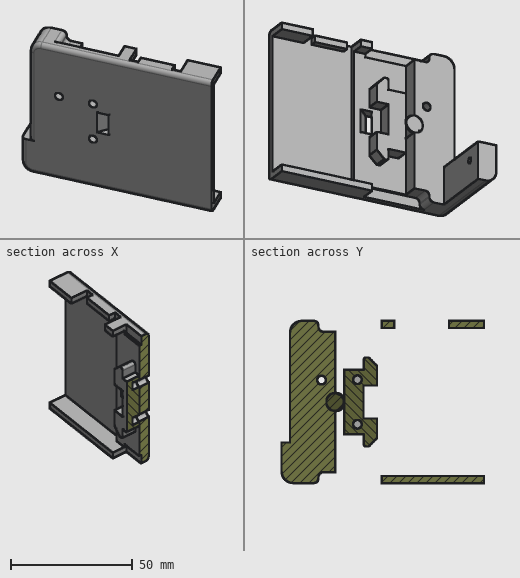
import cadquery as cq

LENGTH = 83.4
HEIGHT = 66.9
MID_HEIGHT = HEIGHT / 2
CORNER_RADIUS = 5.0
EDGE_FILLET = 2.0
LEFT_EDGE = 3.5

LEG_WIDTH = 8.5
LEG_HEIGHT = 16.85
LEG_REACH = 42.5
LEG_HOLE_DIAMETER = 2.5
LEG_HOLE_Y = 35.0
LEG_HOLE_Z = 11.2

BLOCK_DEPTH = 12.6
BLOCK_RIGHT = 22.2
SHOULDER_START = 13.2
SHOULDER_ROUND = 2.1
SHOULDER_HOLLOW = 2.0
SHOULDER_DROP = 4.5

BAY_RIGHT = 41.2
BAY_RIM_DEPTH = 4.1
FLOOR_DEPTH = 5.2

WALL = 3.0
THIN_FLOOR = 3.0
WALL_DEPTH = 11.2
NOTCH_LEFT = 46.45
NOTCH_RIGHT = 68.9
TAB_LEFT = 50.2
TAB_RIGHT = 65.1
TAB_DEPTH = 6.0

HOLE_DIAMETER = 3.5
HOLE_SPREAD = 9.0
BLOCK_HOLE_X = 16.5
SCREW_HOLE_X = 31.45
WINDOW_LEFT = 33.1
WINDOW_RIGHT = 38.2
WINDOW_HEIGHT = 10.2

SENSOR_LEFT = 25.8
SENSOR_RIGHT = 39.4
SENSOR_BACK = 11.8
SENSOR_HALF_HEIGHT = 13.35
LUG_LEFT = 33.9
LUG_RISE = 5.0
LUG_FILLET = 1.0
LUG_CHAMFER = 3.5
WINDOW_CLEARANCE = 1.7
SCREW_SOCKET_SHIFT = 0.2
SCREW_SOCKET_DEPTH = 3.3

PIN_RADIUS = SENSOR_LEFT - BLOCK_RIGHT
PIN_NECK_RADIUS = 3.25
PIN_HEAD_RADIUS = 3.8
PIN_HEAD_START = 12.0

SCREW_HEIGHTS = (MID_HEIGHT - HOLE_SPREAD, MID_HEIGHT + HOLE_SPREAD)


def slab(x0, x1, y0, y1, z0, z1):
    """Box given by its limits along the three axes."""
    return cq.Workplane("XY").box(x1 - x0, y1 - y0, z1 - z0, centered=False).translate((x0, y0, z0))


def rod(x, z, radius, y0, y1):
    """Round bar along Y."""
    return cq.Workplane("XZ", origin=(x, y0, z)).circle(radius).extrude(y0 - y1)


def mirrored(shape):
    """Copy of a shape reflected about mid height."""
    return shape.mirror("XY", (0, 0, MID_HEIGHT))


def upper_shell():
    shell = slab(LEFT_EDGE, LENGTH, 0, BLOCK_DEPTH, LEG_HEIGHT, HEIGHT)
    shell = shell.edges("|Y and <X and >Z").fillet(CORNER_RADIUS)
    return shell.faces("<Y").edges("not(>X or <Z)").fillet(EDGE_FILLET)


def lower_shell():
    shell = slab(0, LENGTH, 0, LEG_REACH, 0, LEG_HEIGHT)
    shell = shell.edges("|Y and <X and <Z").fillet(CORNER_RADIUS)
    shell = shell.faces("<Y").edges("not(>X or >Z)").fillet(EDGE_FILLET)
    behind = slab(LEG_WIDTH, LENGTH, BLOCK_DEPTH, LEG_REACH, 0, LEG_HEIGHT)
    leg_hole = (
        cq.Workplane("YZ")
        .center(LEG_HOLE_Y, LEG_HOLE_Z)
        .circle(LEG_HOLE_DIAMETER / 2)
        .extrude(LEG_WIDTH)
    )
    return shell.cut(behind).cut(leg_hole)


def bay_upper_half():
    """Upper half of the open bay, bounded on the left by the curved shoulder."""
    round_end_x = SHOULDER_START + SHOULDER_ROUND
    hollow_end_x = round_end_x + SHOULDER_HOLLOW
    ledge = HEIGHT - SHOULDER_DROP
    return (
        cq.Workplane("XZ", origin=(0, BAY_RIM_DEPTH, 0))
        .moveTo(SHOULDER_START, HEIGHT)
        .radiusArc((round_end_x, HEIGHT - SHOULDER_ROUND), SHOULDER_ROUND)
        .lineTo(round_end_x, ledge + SHOULDER_HOLLOW)
        .radiusArc((hollow_end_x, ledge), -SHOULDER_HOLLOW)
        .lineTo(BLOCK_RIGHT, ledge)
        .lineTo(BLOCK_RIGHT, MID_HEIGHT)
        .lineTo(BAY_RIGHT, MID_HEIGHT)
        .lineTo(BAY_RIGHT, HEIGHT)
        .close()
        .extrude(BAY_RIM_DEPTH - BLOCK_DEPTH)
    )


def slanted_window():
    """Slot through the floor whose side walls lean 45 degrees toward +X."""
    return (
        cq.Workplane("XY", origin=(0, 0, MID_HEIGHT))
        .moveTo(WINDOW_LEFT, 0)
        .lineTo(WINDOW_RIGHT, 0)
        .lineTo(WINDOW_RIGHT + FLOOR_DEPTH, FLOOR_DEPTH)
        .lineTo(WINDOW_LEFT + FLOOR_DEPTH, FLOOR_DEPTH)
        .close()
        .extrude(WINDOW_HEIGHT / 2, both=True)
    )


def make_housing():
    housing = upper_shell().union(lower_shell())

    bay = bay_upper_half()
    pad = slab(BLOCK_RIGHT, BAY_RIGHT, BAY_RIM_DEPTH, FLOOR_DEPTH, SHOULDER_DROP, HEIGHT - SHOULDER_DROP)
    housing = housing.cut(bay).cut(mirrored(bay)).union(pad)

    housing = housing.cut(slab(BAY_RIGHT, LENGTH, WALL_DEPTH, BLOCK_DEPTH, 0, HEIGHT))
    housing = housing.cut(slab(BAY_RIGHT, NOTCH_LEFT, FLOOR_DEPTH, WALL_DEPTH, WALL, HEIGHT - WALL))
    housing = housing.cut(slab(NOTCH_LEFT, LENGTH, THIN_FLOOR, WALL_DEPTH, WALL, HEIGHT - WALL))
    housing = housing.cut(slab(NOTCH_LEFT, NOTCH_RIGHT, THIN_FLOOR, WALL_DEPTH, HEIGHT - WALL, HEIGHT))
    housing = housing.union(slab(TAB_LEFT, TAB_RIGHT, THIN_FLOOR, TAB_DEPTH, HEIGHT - WALL, HEIGHT))

    housing = housing.cut(slanted_window())
    for height in SCREW_HEIGHTS:
        housing = housing.cut(rod(SCREW_HOLE_X, height, HOLE_DIAMETER / 2, 0, FLOOR_DEPTH))
    housing = housing.cut(rod(BLOCK_HOLE_X, MID_HEIGHT + HOLE_SPREAD, HOLE_DIAMETER / 2, 0, BLOCK_DEPTH))

    housing = housing.cut(rod(BLOCK_RIGHT, MID_HEIGHT, PIN_RADIUS, FLOOR_DEPTH, PIN_HEAD_START))
    return housing.cut(rod(BLOCK_RIGHT, MID_HEIGHT, PIN_HEAD_RADIUS, PIN_HEAD_START, BLOCK_DEPTH))


def make_sensor():
    bottom = MID_HEIGHT - SENSOR_HALF_HEIGHT
    top = MID_HEIGHT + SENSOR_HALF_HEIGHT
    sensor = slab(SENSOR_LEFT, SENSOR_RIGHT, FLOOR_DEPTH, SENSOR_BACK, bottom, top)

    lug = slab(LUG_LEFT, SENSOR_RIGHT, FLOOR_DEPTH, SENSOR_BACK, top, top + LUG_RISE)
    lug = lug.edges("|Y and <X and >Z").fillet(LUG_FILLET)
    lug = lug.edges("|Y and >X and >Z").chamfer(LUG_CHAMFER)
    sensor = sensor.union(lug).union(mirrored(lug))

    half_gap = WINDOW_HEIGHT / 2 + WINDOW_CLEARANCE
    gap = slab(LUG_LEFT, SENSOR_RIGHT, FLOOR_DEPTH, SENSOR_BACK, MID_HEIGHT - half_gap, MID_HEIGHT + half_gap)
    sensor = sensor.cut(gap)

    socket_x = SCREW_HOLE_X - SCREW_SOCKET_SHIFT
    socket_z = MID_HEIGHT + HOLE_SPREAD + SCREW_SOCKET_SHIFT
    socket = rod(socket_x, socket_z, HOLE_DIAMETER / 2, FLOOR_DEPTH, FLOOR_DEPTH + SCREW_SOCKET_DEPTH)
    return sensor.cut(socket).cut(mirrored(socket))


def make_pin():
    shaft = rod(BLOCK_RIGHT, MID_HEIGHT, PIN_RADIUS, FLOOR_DEPTH, SENSOR_BACK)
    neck = rod(BLOCK_RIGHT, MID_HEIGHT, PIN_NECK_RADIUS, SENSOR_BACK, PIN_HEAD_START)
    head = rod(BLOCK_RIGHT, MID_HEIGHT, PIN_HEAD_RADIUS, PIN_HEAD_START, BLOCK_DEPTH)
    return shaft.union(neck).union(head)


housing = make_housing()
sensor = make_sensor()
pin = make_pin()

result = cq.Compound.makeCompound([housing.val(), sensor.val(), pin.val()])